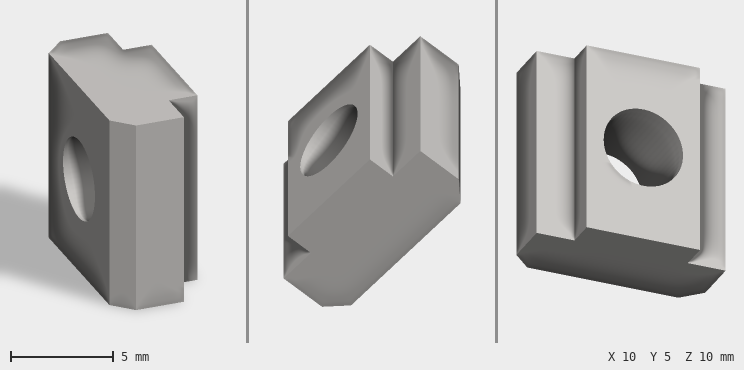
import cadquery as cq

width = 10.0
length = 10.0
depth = 5.0
neck_width = 6.0
neck_depth = 1.5
chamfer = 1.0
bore_diameter = 4.2

flange_depth = depth - neck_depth


def make_flange():
    """Wide block from Y = 0, with its two -Y edges bevelled."""
    block = cq.Workplane("XY").box(width, flange_depth, length, centered=(True, False, True))
    return block.faces("<Y").edges("|Z").chamfer(chamfer)


def make_neck():
    """Narrow rib standing on the +Y face of the flange."""
    neck = cq.Workplane("XY").box(neck_width, neck_depth, length, centered=(True, False, True))
    return neck.translate((0, flange_depth, 0))


def make_bore():
    """Round cutter along +Y through the full depth."""
    return cq.Workplane("XZ").circle(bore_diameter / 2).extrude(-depth)


body = make_flange().union(make_neck())
result = body.cut(make_bore())